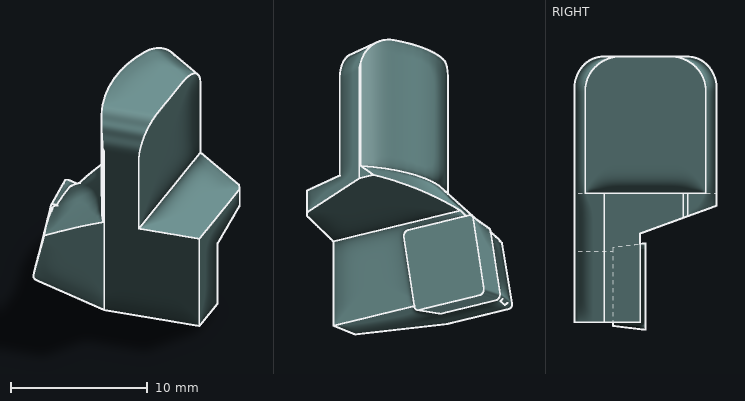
import cadquery as cq
import math


half_width = 5.2
back_x = 0.82
wedge_start_x = -5.95
wedge_angle = math.radians(18)
back_corner_run = 0.25
back_corner_depth = 0.32
blank_front_x = -15.0

bottom_z = 0.55
shoulder_z = 10.0
top_z = 20.0
lug_back_x = -3.5
lug_round = 2.5

lug_radius = 8.0
cone_edge_z = 5.77
steep_cone_angle = math.radians(10)
nose_bottom_round = 0.3

chip_face_y = -0.4
chip_roof_z = 7.04
chip_roof_angle = math.radians(20)
chip_space_overrun = 1.0

insert_height = 6.35
insert_thickness = 2.38
insert_lean = math.radians(10)
insert_relief = 7.0
insert_corner_radius = 0.4
insert_left_x = -13.43


def make_blank():
    """Upright wedge with rounded upper side edges and a lowered back, trimmed to the holder width."""
    slope = math.tan(wedge_angle)
    back_half_width = half_width - (back_x - wedge_start_x) * slope
    front_half_width = half_width + (wedge_start_x - blank_front_x) * slope
    corner_y = back_half_width + back_corner_run * slope
    outline = [
        (blank_front_x, -front_half_width),
        (back_x, -back_half_width),
        (back_x, corner_y - back_corner_depth),
        (back_x - back_corner_run, corner_y),
        (blank_front_x, front_half_width),
    ]
    wedge = cq.Workplane("XY").workplane(offset=bottom_z).polyline(outline).close().extrude(top_z - bottom_z)
    back_step = (
        cq.Workplane("XY")
        .box(back_x - lug_back_x, 2 * half_width, top_z - shoulder_z, centered=(False, True, False))
        .translate((lug_back_x, 0, shoulder_z))
    )
    lug_and_base = wedge.cut(back_step).faces(">Z").edges("not |Y").fillet(lug_round)
    width_limit = (
        cq.Workplane("XY")
        .box(back_x - blank_front_x, 2 * half_width, top_z, centered=(False, True, False))
        .translate((blank_front_x, 0, 0))
    )
    return lug_and_base.intersect(width_limit)


def make_nose_envelope():
    """Solid of revolution that bounds the holder on its cutting side."""
    cone_edge_radius = lug_radius + shoulder_z - cone_edge_z
    bottom_radius = cone_edge_radius + (cone_edge_z - bottom_z) * math.tan(steep_cone_angle)
    envelope = (
        cq.Workplane("XZ")
        .moveTo(0, bottom_z)
        .lineTo(bottom_radius, bottom_z)
        .lineTo(cone_edge_radius, cone_edge_z)
        .lineTo(lug_radius, shoulder_z)
        .lineTo(lug_radius, top_z)
        .lineTo(0, top_z)
        .close()
        .revolve(360, (0, 0, 0), (0, 1, 0))
    )
    return envelope.edges("<Z").fillet(nose_bottom_round)


def make_chip_space():
    """Space over the chip face, under a sloping roof, running the full length of the holder."""
    outer_y = half_width + chip_space_overrun
    roof_rise = (outer_y - chip_face_y) * math.tan(chip_roof_angle)
    return (
        cq.Workplane("YZ")
        .workplane(offset=blank_front_x)
        .moveTo(chip_face_y, 0)
        .lineTo(outer_y, 0)
        .lineTo(outer_y, chip_roof_z + roof_rise)
        .lineTo(chip_face_y, chip_roof_z)
        .close()
        .extrude(back_x - blank_front_x)
    )


def make_insert():
    """Rhombus with rounded corners that tapers from the rake face to its base."""
    side = insert_height / math.cos(insert_lean)
    lean_run = insert_height * math.tan(insert_lean)
    corner_angle = math.pi / 2 - insert_lean
    corner_x = insert_left_x + insert_corner_radius * (1 - 1 / math.tan(corner_angle / 2))
    return (
        cq.Workplane("XZ")
        .moveTo(corner_x, 0)
        .lineTo(corner_x + side, 0)
        .lineTo(corner_x + side + lean_run, insert_height)
        .lineTo(corner_x + lean_run, insert_height)
        .close()
        .extrude(insert_thickness, taper=insert_relief)
        .edges("not #Y")
        .fillet(insert_corner_radius)
    )


insert = make_insert()
holder = make_blank().intersect(make_nose_envelope()).cut(make_chip_space()).cut(insert)

result = cq.Compound.makeCompound([holder.val(), insert.val()])